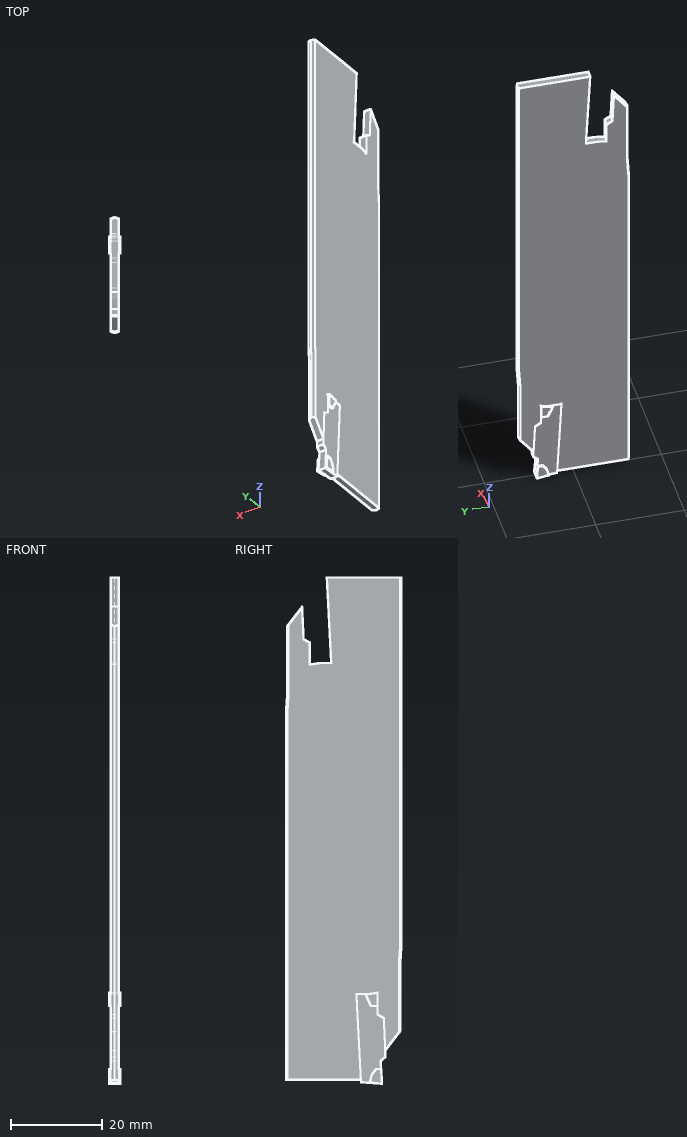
import cadquery as cq

total_height = 110.8
blade_base = 0.9
blade_width = 25.4
blade_thickness = 1.8
insert_thickness = 2.5

ridge_depth = 0.3
relief_depth = 0.28
relief_length = 25.7
relief_ramp = 4.3

mid_width = blade_width / 2
blade_middle = (blade_base + total_height) / 2

lip_tip = (3.6, 7.3)
lip_heel = (relief_depth, 11.6)
seat_lock = (3.93, 14.4)
seat_step = (5.26, 15.2)
seat_stop = (5.26, 19.9)
seat_bend = (7.4, 19.6)
seat_corner = (9.92, 19.6)
insert_heel = (8.92, 0.3)
insert_tip = (4.27, 0.0)
neck_lower = (4.6, 5.0)
neck_upper = (3.6, 5.9)

lower_corner = [insert_tip, (4.5, 3.2), (5.7, 3.2), (6.5, 2.0), (7.0, insert_heel[1])]
upper_corner = [seat_stop, (5.26, 17.1), (6.8, 17.1), (7.92, seat_bend[1]), seat_bend]


def plate(points, thickness):
    """Plate of the given side outline, centred on X = 0."""
    outline = [(mid_width - across, height) for across, height in points]
    return cq.Workplane("YZ").polyline(outline).close().extrude(thickness / 2, both=True)


def blade_section(height, left_inset, right_inset):
    """Blade cross-section with a V along each edge, inset from the full width."""
    half = blade_thickness / 2
    left = mid_width - left_inset
    right = right_inset - mid_width
    points = [
        (0, left),
        (half, left - ridge_depth),
        (half, right + ridge_depth),
        (0, right),
        (-half, right + ridge_depth),
        (-half, left - ridge_depth),
    ]
    return cq.Wire.makePolygon([cq.Vector(x, y, height) for x, y in points], close=True)


def make_bar():
    """Uncut blade, relieved on +Y at the bottom and on -Y at the top."""
    ramp_end = relief_length + relief_ramp
    sections = [
        blade_section(blade_base, relief_depth, 0),
        blade_section(blade_base + relief_length, relief_depth, 0),
        blade_section(blade_base + ramp_end, 0, 0),
        blade_section(total_height - ramp_end, 0, 0),
        blade_section(total_height - relief_length, 0, relief_depth),
        blade_section(total_height, 0, relief_depth),
    ]
    return cq.Workplane(obj=cq.Solid.makeLoft(sections, True))


def make_seat_cutter():
    """Lower seat, open at the blade end, with the sloped lip beside it."""
    overrun = 2.2
    lean = (seat_corner[0] - insert_heel[0]) / (seat_corner[1] - insert_heel[1])
    mouth = (insert_heel[0] - lean * overrun, insert_heel[1] - overrun)
    lip_slope = (lip_heel[1] - lip_tip[1]) / (lip_tip[0] - lip_heel[0])
    lip_exit = (lip_heel[0] - overrun, lip_heel[1] + lip_slope * overrun)
    outside = (lip_exit[0], mouth[1])
    points = [mouth, seat_corner, seat_bend, seat_stop, seat_step, seat_lock, lip_tip, lip_exit, outside]
    return plate(points, insert_thickness)


def make_blade():
    lower_seat = make_seat_cutter()
    upper_seat = lower_seat.rotate((0, 0, blade_middle), (1, 0, blade_middle), 180)
    return make_bar().cut(lower_seat).cut(upper_seat)


def make_insert():
    """Insert flush with the blade, thicker at its two cutting corners."""
    outline = [
        insert_tip,
        insert_heel,
        seat_corner,
        seat_bend,
        seat_stop,
        seat_step,
        seat_lock,
        lip_tip,
        neck_upper,
        neck_lower,
    ]
    insert = plate(outline, blade_thickness)
    for corner in (lower_corner, upper_corner):
        insert = insert.union(plate(corner, insert_thickness))
    return insert


blade = make_blade()
cutting_insert = make_insert()

result = cq.Compound.makeCompound([blade.solids().val(), cutting_insert.solids().val()])